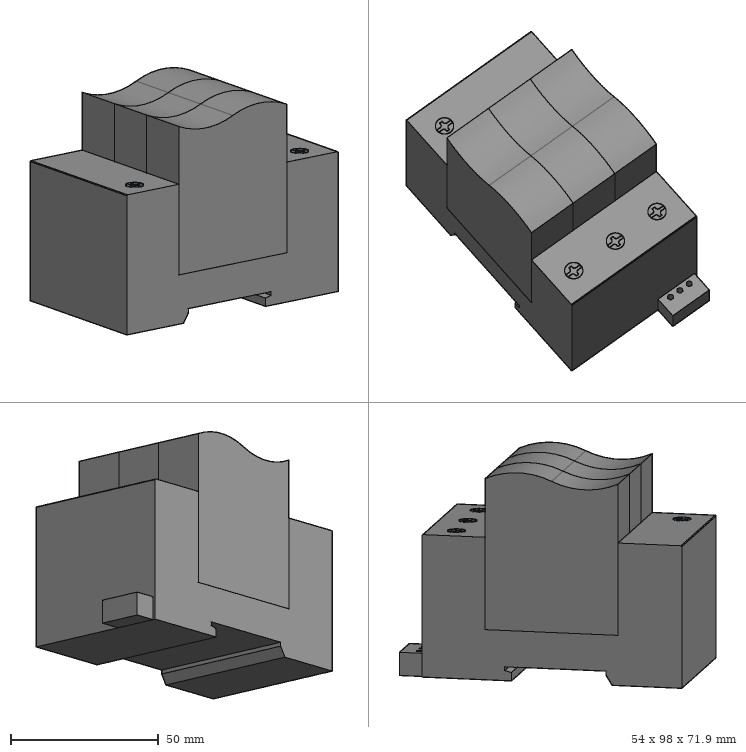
import cadquery as cq

width = 54.0
overall_length = 98.0
connector_length = 8.0
housing_length = overall_length - connector_length
housing_height = 49.2
end_edge_chamfer = 0.3
front_y = -housing_length / 2
back_y = housing_length / 2

overall_height = 71.9
module_count = 3
module_width = width / module_count
module_length = 46.0
module_center_y = 0.1
module_bottom = 17.3
wave_height = 2.45
wave_level = overall_height - wave_height

slot_depth = 4.8
slot_back_y = 16.4
slot_front_y = -18.7
hook_reach = 2.4
hook_tip_height = 2.9
hook_root_height = 3.5
ramp_reach = 2.2
ramp_height = 3.4

screw_diameter = 6.2
screw_recess_depth = 0.3
screw_edge_distance = 9.9
screw_side_offset = 0.3
driver_width = 1.1
arm_span = 3.9
driver_depth = 0.4
cross_corner_radius = 0.9

connector_width = 15.8
connector_height = 8.0
connector_side_gap = 1.0
contact_count = 3
contact_diameter = 2.0
contact_spacing = 4.0
contact_wall_distance = 2.0
contact_depth = connector_height / 2


def module_center_x(index):
    return (index - (module_count - 1) / 2) * module_width


def screw_x(module_index):
    return module_center_x(module_index) + screw_side_offset


def make_rail_slot():
    points = [
        (slot_back_y - hook_reach, 0),
        (slot_back_y - hook_reach, hook_tip_height),
        (slot_back_y, hook_root_height),
        (slot_back_y, slot_depth),
        (slot_front_y, slot_depth),
        (slot_front_y, ramp_height),
        (slot_front_y - ramp_reach, 0),
    ]
    return cq.Workplane("YZ").polyline(points).close().extrude(width / 2, both=True)


def make_screw_cut(x, y):
    """Shallow round recess with a straight slot crossed by a short arm in its floor."""
    floor = housing_height - screw_recess_depth
    recess = (
        cq.Workplane("XY", origin=(x, y, floor))
        .circle(screw_diameter / 2)
        .extrude(screw_recess_depth)
    )
    driver_plane = cq.Workplane("XY", origin=(x, y, floor - driver_depth))
    slot = driver_plane.rect(screw_diameter, driver_width).extrude(driver_depth)
    arm = driver_plane.rect(driver_width, arm_span).extrude(driver_depth)
    inner_edges = cq.selectors.BoxSelector(
        (x - driver_width, y - driver_width, floor - driver_depth),
        (x + driver_width, y + driver_width, floor),
    )
    cross = slot.union(arm).edges("|Z").edges(inner_edges).fillet(cross_corner_radius)
    screw_outline = driver_plane.circle(screw_diameter / 2).extrude(driver_depth)
    return recess.union(cross.intersect(screw_outline))


def make_housing():
    body = cq.Workplane("XY").box(
        width, housing_length, housing_height, centered=(True, True, False)
    )
    body = body.faces(">Z").edges("|X").chamfer(end_edge_chamfer)
    channel = cq.Workplane("XY", origin=(0, module_center_y, module_bottom)).box(
        width, module_length, housing_height, centered=(True, True, False)
    )
    body = body.cut(channel).cut(make_rail_slot())

    for index in range(module_count):
        body = body.cut(make_screw_cut(screw_x(index), back_y - screw_edge_distance))
    last_module = module_count - 1
    return body.cut(make_screw_cut(screw_x(last_module), front_y + screw_edge_distance))


def make_module(index):
    """Block whose top is an S-wave of two arcs, with the crest towards the back."""
    half_length = module_length / 2
    quarter_length = module_length / 4
    left_x = module_center_x(index) - module_width / 2
    return (
        cq.Workplane("YZ", origin=(left_x, module_center_y, 0))
        .moveTo(-half_length, module_bottom)
        .lineTo(half_length, module_bottom)
        .lineTo(half_length, wave_level)
        .threePointArc((quarter_length, wave_level + wave_height), (0, wave_level))
        .threePointArc((-quarter_length, wave_level - wave_height), (-half_length, wave_level))
        .close()
        .extrude(module_width)
    )


def make_connector():
    center_x = -width / 2 + connector_side_gap + connector_width / 2
    block = cq.Workplane("XY", origin=(center_x, back_y + connector_length / 2, 0)).box(
        connector_width, connector_length, connector_height, centered=(True, True, False)
    )
    contacts = (
        cq.Workplane("XY", origin=(center_x, back_y + contact_wall_distance, connector_height))
        .rarray(contact_spacing, 1, contact_count, 1)
        .circle(contact_diameter / 2)
        .extrude(-contact_depth)
    )
    return block.cut(contacts)


housing = make_housing()
modules = [make_module(index) for index in range(module_count)]
connector = make_connector()

result = cq.Compound.makeCompound(
    [housing.val(), *[module.val() for module in modules], connector.val()]
)